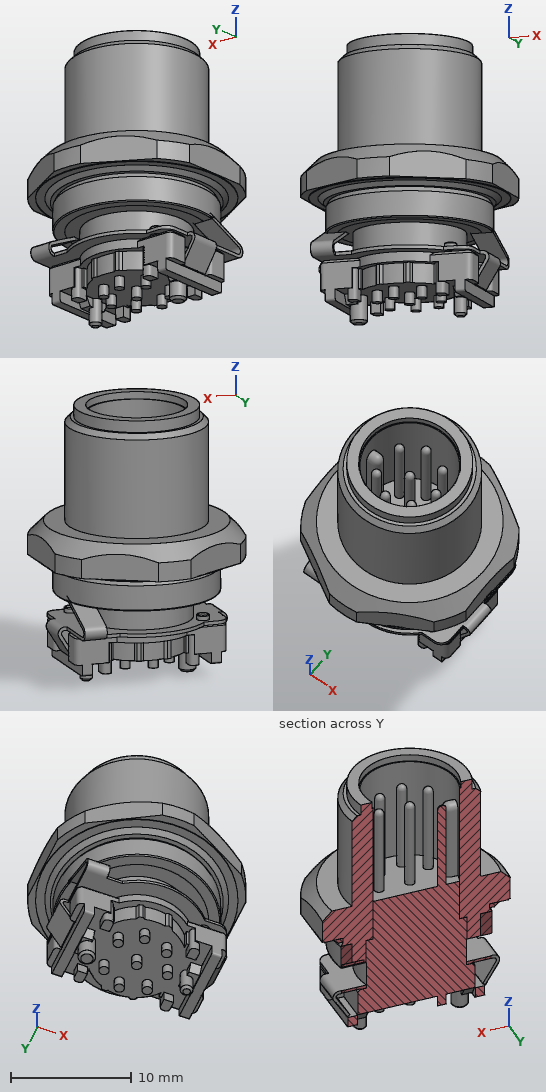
import cadquery as cq
import math



TOTAL_HEIGHT = 23.3
SHOULDER_Z = 22.3
SHOULDER_CHAMFER = 0.45
HEX_TOP_Z = 13.36
WASHER_FACE_Z = 10.33
HEX_BOTTOM_Z = WASHER_FACE_Z + 0.07
SEAL_BOTTOM_Z = 9.95
COLLAR_TOP_Z = 9.55
COLLAR_BOTTOM_Z = 7.35

SHELL_RADIUS = 6.0
SHELL_NECK_RADIUS = 5.25
MOUTH_RADIUS = 4.25
MOUTH_DEPTH = 0.62
BORE_RADIUS = 4.15
HEX_ACROSS_FLATS = 17.0
HEX_ROUND_RADIUS = 9.1
HEX_TOP_RADIUS = 7.78
WASHER_FACE_RADIUS = 8.43
SEAL_TOP_RADIUS = 7.65
SEAL_BOTTOM_RADIUS = 7.2
STEM_RADIUS = SHELL_RADIUS
NECK_RADIUS = 6.8
COLLAR_RADIUS = 7.0
COLLAR_EDGE_CHAMFER = 0.1

CARRIER_RADIUS = 4.75
CARRIER_STEP_Z = 4.02
CARRIER_FLOOR_Z = HEX_TOP_Z
CARRIER_SHOULDER_Z = COLLAR_TOP_Z
BASE_RADIUS = 4.13
BASE_BOTTOM_Z = 2.32
RIB_TIP_RADIUS = 4.32
RIB_WIDTH = 0.9
RIB_ANGLE = 18.0
RIB_EDGE_CHAMFER = 0.28
KEY_RADIUS = 0.6
KEY_CENTRE_X = -3.55
KEY_TOP_Z = 20.5

PIN_RADIUS = 0.425
PIN_DOME_RADIUS = 0.41
PIN_CIRCLE_RADIUS = 2.78
PIN_ANGLES = [0.0, 49.0, 98.9, 146.3, 213.7, 261.1, 311.0]
PIN_TOP_Z = 21.35
PIN_BOTTOM_Z = 1.34

FOOT_OUTER_X = 6.75
FOOT_HALF_WIDTH = 3.6
FOOT_CORNER_RADIUS = 0.5
FOOT_TOP_CHAMFER = 0.25
RAIL_OUTER_X = 6.2
RAIL_INNER_X = 5.3
RAIL_CORNER_RADIUS = 0.2
SLOT_HALF_WIDTH = 1.55
SLOT_INNER_X = RAIL_INNER_X
SLOT_CORNER_RADIUS = 0.3
FOOT_NOTCH_X = 3.8
LEG_OUTER_X = 4.33
LEG_INNER_X = 3.46
LEG_CORNER_RADIUS = 0.35
LEG_FRONT_Y = 3.5
LEG_BACK_Y = 2.4
WEB_FRONT_Y = 3.0
WEB_INNER_X = 3.24
BOSS_BOTTOM_Z = 1.53
BOSS_HALF_LENGTH = 0.9
BOSS_SIDE_RUN = 0.45
POST_X = 4.5
POST_CHAMFER = 0.22
LEFT_POST_RADIUS = 0.73
RIGHT_POST_RADIUS = 0.535
PEG_X = 4.73
PEG_Y = 3.09
PEG_RADIUS = 0.53
PEG_TOP_Z = 5.6
PEG_CHAMFER = 0.08

CLIP_THICKNESS = 0.3
CLIP_BOTTOM_Z = 4.85
CLIP_RING_RADIUS = 6.03
WING_TAB_END_Y = 5.0
WING_ROUND_END_Y = 4.05
WING_CORNER_RADIUS = 1.0
TAB_WIDTH = 1.98
TAB_SLOPE = 24.0
TAB_LENGTH = 4.2
TAB_BEND_Y = 5.05
TAB_BEND_RADIUS = 0.5
HOOK_HALF_WIDTH = 1.42
HOOK_SLOPE = 58.0
HOOK_LENGTH = 2.25
HOOK_BEND_X = 6.96
HOOK_BEND_RADIUS = 0.42

FOOT_TOP_Z = CLIP_BOTTOM_Z
CLIP_TOP_Z = CLIP_BOTTOM_Z + CLIP_THICKNESS
CLIP_MIDDLE_Z = CLIP_BOTTOM_Z + CLIP_THICKNESS / 2



def cylinder(radius, bottom, top, x=0.0, y=0.0):
    """Upright cylinder between two heights."""
    return cq.Workplane("XY", origin=(x, y, bottom)).circle(radius).extrude(top - bottom)


def block(x_range, y_range, z_range):
    """Box between pairs of coordinates."""
    low, high = zip(x_range, y_range, z_range)
    size = [upper - lower for lower, upper in zip(low, high)]
    return cq.Workplane("XY", origin=low).box(*size, centered=False)


def half_turn(body):
    """The same body turned to the opposite side of the Z axis."""
    return body.rotate((0, 0, 0), (0, 0, 1), 180)



def make_hex_flange():
    """Hexagon with two flats facing X, its corners rounded off and its top edge bevelled."""
    hex_prism = (
        cq.Workplane("XY", origin=(0, 0, HEX_BOTTOM_Z))
        .polygon(6, HEX_ACROSS_FLATS, circumscribed=True)
        .extrude(HEX_TOP_Z - HEX_BOTTOM_Z)
    )
    round_blank = (
        cylinder(HEX_ROUND_RADIUS, WASHER_FACE_Z, HEX_TOP_Z)
        .faces(">Z").chamfer(HEX_ROUND_RADIUS - HEX_TOP_RADIUS)
    )
    washer_face = cylinder(WASHER_FACE_RADIUS, WASHER_FACE_Z, HEX_BOTTOM_Z)
    return hex_prism.intersect(round_blank).union(washer_face)


def make_housing():
    shell = cylinder(SHELL_RADIUS, HEX_TOP_Z, SHOULDER_Z).faces(">Z").chamfer(SHOULDER_CHAMFER)
    shell_neck = cylinder(SHELL_NECK_RADIUS, HEX_TOP_Z, TOTAL_HEIGHT)
    neck = (
        cq.Workplane("XZ")
        .moveTo(0, COLLAR_TOP_Z)
        .lineTo(COLLAR_RADIUS, COLLAR_TOP_Z)
        .lineTo(NECK_RADIUS, SEAL_BOTTOM_Z)
        .lineTo(NECK_RADIUS, WASHER_FACE_Z)
        .lineTo(0, WASHER_FACE_Z)
        .close()
        .revolve(360, (0, 0), (0, 1))
    )
    stem = cylinder(STEM_RADIUS, COLLAR_BOTTOM_Z, COLLAR_TOP_Z)
    return (
        make_hex_flange()
        .union(shell).union(shell_neck).union(neck).union(stem)
        .cut(cylinder(MOUTH_RADIUS, TOTAL_HEIGHT - MOUTH_DEPTH, TOTAL_HEIGHT))
        .cut(cylinder(BORE_RADIUS, COLLAR_BOTTOM_Z, TOTAL_HEIGHT))
        .cut(cylinder(CARRIER_RADIUS, COLLAR_BOTTOM_Z, CARRIER_SHOULDER_Z))
    )


def make_seal():
    """Conical sealing ring around the neck, under the hexagon."""
    return (
        cq.Workplane("XZ")
        .moveTo(NECK_RADIUS, SEAL_BOTTOM_Z)
        .lineTo(SEAL_BOTTOM_RADIUS, SEAL_BOTTOM_Z)
        .lineTo(SEAL_TOP_RADIUS, WASHER_FACE_Z)
        .lineTo(NECK_RADIUS, WASHER_FACE_Z)
        .close()
        .revolve(360, (0, 0), (0, 1))
    )


def make_collar():
    """Plain ring around the housing's stem."""
    return (
        cylinder(COLLAR_RADIUS, COLLAR_BOTTOM_Z, COLLAR_TOP_Z)
        .faces("<Z").chamfer(COLLAR_EDGE_CHAMFER)
        .cut(cylinder(STEM_RADIUS, COLLAR_BOTTOM_Z, COLLAR_TOP_Z))
    )



def make_pin(x, y):
    """Contact pin with a domed tip."""
    return cylinder(PIN_RADIUS, PIN_BOTTOM_Z, PIN_TOP_Z, x, y).faces(">Z").fillet(PIN_DOME_RADIUS)


def make_pins():
    pins = make_pin(0, 0)
    for angle in PIN_ANGLES:
        turn = math.radians(angle)
        x = PIN_CIRCLE_RADIUS * math.cos(turn)
        y = PIN_CIRCLE_RADIUS * math.sin(turn)
        pins = pins.union(make_pin(x, y))
    return pins


def make_key():
    """Coding key along the bore wall, with a round inner end and a domed top."""
    shaft_top = KEY_TOP_Z - KEY_RADIUS
    wall = block(
        (-BORE_RADIUS, KEY_CENTRE_X), (-KEY_RADIUS, KEY_RADIUS), (CARRIER_FLOOR_Z, shaft_top)
    )
    wall_top = (
        cq.Workplane("YZ", origin=(-BORE_RADIUS, 0, shaft_top))
        .circle(KEY_RADIUS)
        .extrude(KEY_CENTRE_X + BORE_RADIUS)
    )
    nose = cylinder(KEY_RADIUS, CARRIER_FLOOR_Z, shaft_top, KEY_CENTRE_X)
    dome = cq.Workplane("XY", origin=(KEY_CENTRE_X, 0, shaft_top)).sphere(KEY_RADIUS)
    key = wall.union(wall_top).union(nose).union(dome)
    return key.intersect(cylinder(BORE_RADIUS, CARRIER_FLOOR_Z, KEY_TOP_Z))


def make_base():
    """Lower end of the carrier with a bevelled rib on either side of the Y axis, front and back."""
    base = cylinder(BASE_RADIUS, BASE_BOTTOM_Z, CARRIER_STEP_Z)
    rib = (
        block((0, RIB_TIP_RADIUS), (-RIB_WIDTH / 2, RIB_WIDTH / 2), (BASE_BOTTOM_Z, CARRIER_STEP_Z))
        .edges(">X and |Z").chamfer(RIB_EDGE_CHAMFER)
    )
    for axis_angle in (90, 270):
        for offset in (-RIB_ANGLE, RIB_ANGLE):
            base = base.union(rib.rotate((0, 0, 0), (0, 0, 1), axis_angle + offset))
    return base


def make_foot(post_radius):
    """Carrier foot on the -X side: slotted block, rail, inner legs, locating post and rivet peg."""
    body = (
        block((-FOOT_OUTER_X, 0), (-FOOT_HALF_WIDTH, FOOT_HALF_WIDTH), (BASE_BOTTOM_Z, FOOT_TOP_Z))
        .edges("<X and |Z").fillet(FOOT_CORNER_RADIUS)
    )
    slot = block(
        (-FOOT_OUTER_X, -SLOT_INNER_X), (-SLOT_HALF_WIDTH, SLOT_HALF_WIDTH), (BASE_BOTTOM_Z, FOOT_TOP_Z)
    )
    body = body.cut(slot)
    for y in (-SLOT_HALF_WIDTH, SLOT_HALF_WIDTH):
        edge_middle = (-FOOT_OUTER_X, y, (BASE_BOTTOM_Z + FOOT_TOP_Z) / 2)
        slot_edge = cq.selectors.NearestToPointSelector(edge_middle)
        body = body.edges(slot_edge).fillet(SLOT_CORNER_RADIUS)
    body = body.faces(">Z").edges("not(>X)").chamfer(FOOT_TOP_CHAMFER)
    for side in (-1, 1):
        y_range = sorted((side * FOOT_HALF_WIDTH, side * LEG_BACK_Y))
        body = body.cut(block((-FOOT_NOTCH_X, 0), y_range, (BASE_BOTTOM_Z, CARRIER_STEP_Z)))

    rail = (
        block(
            (-RAIL_OUTER_X, -RAIL_INNER_X),
            (-FOOT_HALF_WIDTH, FOOT_HALF_WIDTH),
            (PIN_BOTTOM_Z, BASE_BOTTOM_Z),
        )
        .faces("<Z").edges("|X").fillet(RAIL_CORNER_RADIUS)
    )
    body = body.union(rail)

    for side in (-1, 1):
        y_range = sorted((side * LEG_FRONT_Y, side * LEG_BACK_Y))
        leg = (
            block((-LEG_OUTER_X, -LEG_INNER_X), y_range, (PIN_BOTTOM_Z, CARRIER_STEP_Z))
            .edges("|Z").edges(">Y" if side > 0 else "<Y").fillet(LEG_CORNER_RADIUS)
        )
        web_y_range = sorted((side * WEB_FRONT_Y, side * LEG_BACK_Y))
        web = block((-LEG_OUTER_X, -WEB_INNER_X), web_y_range, (BASE_BOTTOM_Z, CARRIER_STEP_Z))
        body = body.union(leg).union(web)

    boss = (
        cq.Workplane("YZ", origin=(-RAIL_INNER_X, 0, 0))
        .moveTo(-BOSS_HALF_LENGTH, BOSS_BOTTOM_Z)
        .lineTo(BOSS_HALF_LENGTH, BOSS_BOTTOM_Z)
        .lineTo(BOSS_HALF_LENGTH + BOSS_SIDE_RUN, BASE_BOTTOM_Z)
        .lineTo(-BOSS_HALF_LENGTH - BOSS_SIDE_RUN, BASE_BOTTOM_Z)
        .close()
        .extrude(RAIL_INNER_X - LEG_OUTER_X)
    )
    post = cylinder(post_radius, 0, BASE_BOTTOM_Z, -POST_X).faces("<Z").chamfer(POST_CHAMFER)
    peg = cylinder(PEG_RADIUS, FOOT_TOP_Z, PEG_TOP_Z, -PEG_X, PEG_Y).faces(">Z").chamfer(PEG_CHAMFER)
    return body.union(boss).union(post).union(peg)


def make_carrier():
    barrel = cylinder(CARRIER_RADIUS, CARRIER_STEP_Z, CARRIER_SHOULDER_Z)
    core = cylinder(BORE_RADIUS, CARRIER_SHOULDER_Z, CARRIER_FLOOR_Z)
    return (
        barrel.union(core)
        .union(make_base())
        .union(make_foot(LEFT_POST_RADIUS))
        .union(half_turn(make_foot(RIGHT_POST_RADIUS)))
        .union(make_key())
        .union(make_pins())
    )



def bent_strip(plane, start_u, bend_centre_u, bend_radius, slope, length, width):
    """Sheet strip that leaves the plate, folds over by a round bend and returns at a slope.

    In the plane, the strip leaves towards negative u and its bend is convex that way.
    A positive slope makes it return upwards, a negative one downwards.
    """
    way = math.copysign(1, slope)
    tilt = math.radians(abs(slope))
    bend_centre_v = CLIP_MIDDLE_Z + way * bend_radius
    outer_radius = bend_radius + CLIP_THICKNESS / 2
    inner_radius = bend_radius - CLIP_THICKNESS / 2

    def bend_end(radius):
        return (
            bend_centre_u - radius * math.sin(tilt),
            bend_centre_v + way * radius * math.cos(tilt),
        )

    def strip_end(radius):
        u, v = bend_end(radius)
        return u + length * math.cos(tilt), v + way * length * math.sin(tilt)

    outer_face_v = bend_centre_v - way * outer_radius
    inner_face_v = bend_centre_v - way * inner_radius
    return (
        plane
        .moveTo(start_u, outer_face_v)
        .lineTo(bend_centre_u, outer_face_v)
        .threePointArc((bend_centre_u - outer_radius, bend_centre_v), bend_end(outer_radius))
        .lineTo(*strip_end(outer_radius))
        .lineTo(*strip_end(inner_radius))
        .lineTo(*bend_end(inner_radius))
        .threePointArc((bend_centre_u - inner_radius, bend_centre_v), (bend_centre_u, inner_face_v))
        .lineTo(start_u, inner_face_v)
        .close()
        .extrude(width)
    )


def make_clip_wing():
    """Wing on the -X foot with a rising spring tab and a hook that folds down into the foot's slot."""
    wing = (
        block((-FOOT_OUTER_X, 0), (-WING_TAB_END_Y, WING_ROUND_END_Y), (CLIP_BOTTOM_Z, CLIP_TOP_Z))
        .edges("<X and >Y and |Z").fillet(WING_CORNER_RADIUS)
    )
    tab = bent_strip(
        plane=cq.Workplane("YZ", origin=(-FOOT_OUTER_X, 0, 0)),
        start_u=-WING_TAB_END_Y + CLIP_THICKNESS,
        bend_centre_u=-TAB_BEND_Y,
        bend_radius=TAB_BEND_RADIUS,
        slope=TAB_SLOPE,
        length=TAB_LENGTH,
        width=TAB_WIDTH,
    )
    hook = bent_strip(
        plane=cq.Workplane("XZ", origin=(0, HOOK_HALF_WIDTH, 0)),
        start_u=-FOOT_OUTER_X + CLIP_THICKNESS,
        bend_centre_u=-HOOK_BEND_X,
        bend_radius=HOOK_BEND_RADIUS,
        slope=-HOOK_SLOPE,
        length=HOOK_LENGTH,
        width=2 * HOOK_HALF_WIDTH,
    )
    peg_hole = cylinder(PEG_RADIUS, CLIP_BOTTOM_Z, CLIP_TOP_Z, -PEG_X, PEG_Y)
    return wing.union(tab).union(hook).cut(peg_hole)


def make_clip():
    wing = make_clip_wing()
    return (
        cylinder(CLIP_RING_RADIUS, CLIP_BOTTOM_Z, CLIP_TOP_Z)
        .cut(cylinder(PEG_RADIUS, CLIP_BOTTOM_Z, CLIP_TOP_Z, -PEG_X, PEG_Y))
        .cut(cylinder(PEG_RADIUS, CLIP_BOTTOM_Z, CLIP_TOP_Z, PEG_X, -PEG_Y))
        .union(wing)
        .union(half_turn(wing))
        .cut(cylinder(CARRIER_RADIUS, CLIP_BOTTOM_Z, CLIP_TOP_Z))
    )



clip = make_clip()
carrier = make_carrier()
seal = make_seal()
collar = make_collar().cut(clip)
housing = make_housing().cut(clip)

result = cq.Compound.makeCompound([
    housing.solids().val(),
    seal.solids().val(),
    collar.solids().val(),
    carrier.solids().val(),
    clip.solids().val(),
])